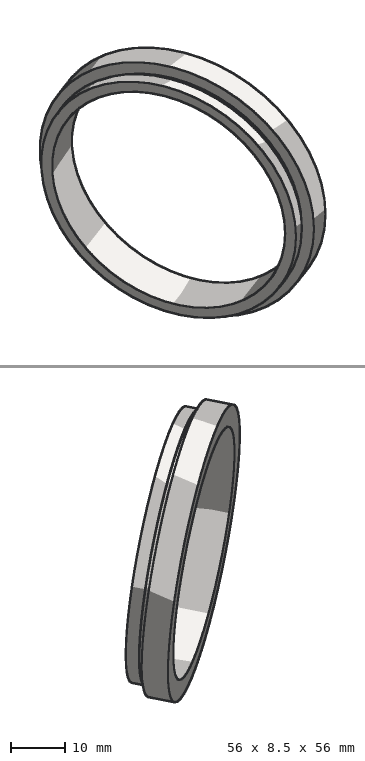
import cadquery as cq

flange_diameter = 56.0
lip_diameter = 52.0
groove_diameter = 51.0
bore_diameter = 47.55

flange_width = 5.0
groove_width = 1.0
lip_width = 2.5
total_width = flange_width + groove_width + lip_width


def disc(diameter, front_y, width):
    """Solid disc centred on the Y axis, extending from front_y toward +Y."""
    front_plane = cq.Workplane("XZ", origin=(0, front_y, 0))
    return front_plane.circle(diameter / 2).extrude(-width)


lip = disc(lip_diameter, 0, lip_width)
groove_floor = disc(groove_diameter, lip_width, groove_width)
flange = disc(flange_diameter, lip_width + groove_width, flange_width)

bore = disc(bore_diameter, 0, total_width)

result = lip.union(groove_floor).union(flange).cut(bore)